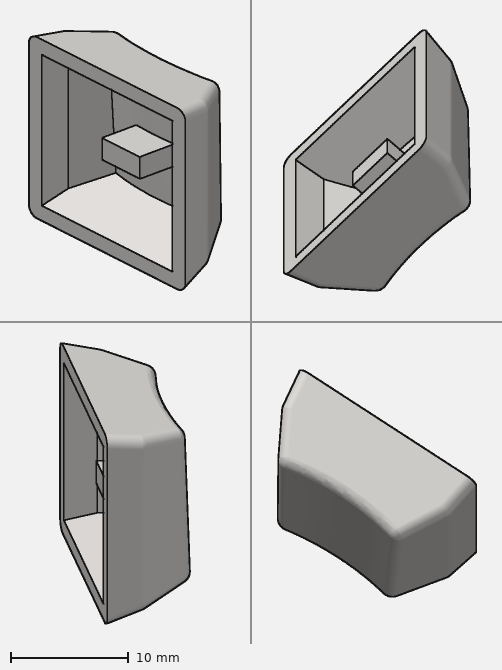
import cadquery as cq

rim_size = 18.3
half_rim = rim_size / 2
wall = 1.5
edge_radius = 1.0

knee_height = 3.33
knee_half_width = 8.64
upper_side_slope = 0.58
upper_end_slope = 0.23
lower_end_slope = 0.22
blank_height = 9.15

dish_radius = 25.44
dish_valley_height = 7.23
dish_tilt = 2.5
dish_length = 3 * rim_size

stem_left = -2.05
stem_right = 2.36
stem_tip = 1.57
stem_top = 0.92
stem_bottom = -1.28
stem_flat = 0.22
stem_slope = 0.16
stem_root = 6.77


def make_body():
    """Solid tapered cap with the dish cut and all edges still sharp."""
    blank_half_width = knee_half_width - upper_side_slope * (blank_height - knee_height)
    across = (
        cq.Workplane("XY")
        .polyline([
            (-half_rim, 0),
            (half_rim, 0),
            (knee_half_width, knee_height),
            (blank_half_width, blank_height),
            (-blank_half_width, blank_height),
            (-knee_half_width, knee_height),
        ])
        .close()
        .extrude(half_rim, both=True)
    )
    along = (
        cq.Workplane("YZ")
        .polyline([
            (0, -half_rim),
            (0, half_rim),
            (blank_height, half_rim - upper_end_slope * blank_height),
            (blank_height, -half_rim + lower_end_slope * blank_height),
        ])
        .close()
        .extrude(half_rim, both=True)
    )
    dish = (
        cq.Workplane("XY")
        .circle(dish_radius)
        .extrude(dish_length / 2, both=True)
        .translate((0, dish_radius, 0))
        .rotate((0, 0, 0), (1, 0, 0), dish_tilt)
        .translate((0, dish_valley_height, 0))
    )
    return across.intersect(along).cut(dish)


def make_cavity(body):
    """Space left inside the sharp-edged body by an even wall."""
    hollow = body.faces("<Y").shell(-wall, kind="intersection")
    return body.cut(hollow)


def make_stem():
    """Sloping rectangular stem, run into the thickness of the top."""
    slope_start = stem_tip + stem_flat
    return (
        cq.Workplane("YZ", origin=(stem_left, 0, 0))
        .polyline([
            (stem_tip, stem_bottom),
            (stem_tip, stem_top),
            (slope_start, stem_top),
            (stem_root, stem_top - stem_slope * (stem_root - slope_start)),
            (stem_root, stem_bottom - stem_slope * (stem_root - stem_tip)),
        ])
        .close()
        .extrude(stem_right - stem_left)
    )


sharp_body = make_body()
cavity = make_cavity(sharp_body)
rounded_body = sharp_body.edges("not(<Y)").fillet(edge_radius)
result = rounded_body.cut(cavity).union(make_stem())